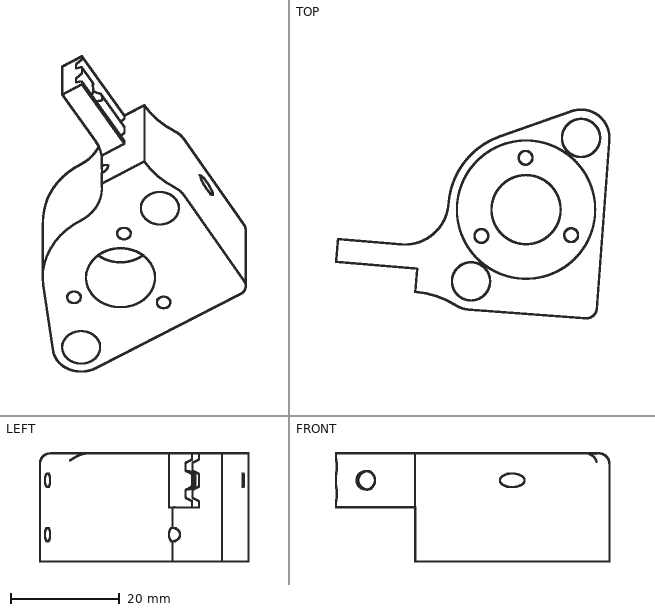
import math

import cadquery as cq

HEIGHT = 20.0
BORE_DIAMETER = 12.7
POCKET_DIAMETER = 25.5
POCKET_DEPTH = 4.0
HUB_RADIUS = 14.35

MOUNT_HOLE_DIAMETER = 2.5
MOUNT_CIRCLE_RADIUS = 9.55
MOUNT_HOLE_COUNT = 3
MOUNT_FIRST_ANGLE = 90.5

ROD_HOLE_DIAMETER = 7.0
ROD_HOLE_DISTANCE = 16.65
ROD_HOLE_ANGLE = 52.5
ROD_BOSS_RADIUS = 5.25

BODY_TILT = -4.25
CORNER_RADIUS = 2.0
TOP_ROUND_RADIUS = 2.0
RELIEF_RADIUS = 16.2
RELIEF_DIRECTION = 237.6

ARM_TILT = -4.8
ARM_LENGTH = 15.0
ARM_THICKNESS = 4.25
ARM_HEIGHT = 10.0
ARM_TIP_DISTANCE = 34.09
ARM_TOP_OFFSET = 8.28
ARM_FILLET_RADIUS = 8.0
ARM_HOLE_DIAMETER = 3.4
ARM_HOLE_FROM_TIP = 5.5

TOOTH_PITCH = 5.0
GROOVE_DEPTH = 1.25
GROOVE_MOUTH_WIDTH = 2.68
GROOVE_FLOOR_WIDTH = 1.44
GROOVE_CORNER_RADIUS = 0.4

SET_SCREW_DIAMETER = 2.5
SET_SCREW_HIGH = 15.0
SET_SCREW_LOW = 5.0

CLEARANCE = 60.0


def polar(origin, distance, angle):
    """Point at a distance and direction (degrees) from an origin."""
    turn = math.radians(angle)
    return (origin[0] + distance * math.cos(turn), origin[1] + distance * math.sin(turn))


def arm_point(along, across):
    """XY point from distances along and across the tilted arm, measured from the bore."""
    return polar(polar((0, 0), along, ARM_TILT), across, ARM_TILT + 90)


def distance_along_arm(point):
    """Distance of a point from the bore, measured along the arm."""
    turn = math.radians(ARM_TILT)
    return point[0] * math.cos(turn) + point[1] * math.sin(turn)


def toward(start, end):
    """Direction in degrees from one point to another."""
    return math.degrees(math.atan2(end[1] - start[1], end[0] - start[0]))


BORE = (0.0, 0.0)
UPPER_ROD = polar(BORE, ROD_HOLE_DISTANCE, ROD_HOLE_ANGLE)
LOWER_ROD = polar(BORE, -ROD_HOLE_DISTANCE, ROD_HOLE_ANGLE)
BOTTOM_NORMAL = BODY_TILT - 90
RIGHT_NORMAL = BODY_TILT

SLANT_TILT = ROD_HOLE_ANGLE - math.degrees(
    math.asin((HUB_RADIUS - ROD_BOSS_RADIUS) / ROD_HOLE_DISTANCE)
)
SLANT_NORMAL = SLANT_TILT + 90
SLANT_AT_BOSS = polar(UPPER_ROD, ROD_BOSS_RADIUS, SLANT_NORMAL)
SLANT_AT_HUB = polar(BORE, HUB_RADIUS, SLANT_NORMAL)
RIGHT_AT_BOSS = polar(UPPER_ROD, ROD_BOSS_RADIUS, RIGHT_NORMAL)
BOSS_CREST = polar(UPPER_ROD, ROD_BOSS_RADIUS, (SLANT_NORMAL + RIGHT_NORMAL) / 2)

ARM_TIP = -ARM_TIP_DISTANCE
ARM_ROOT = ARM_TIP + ARM_LENGTH
ARM_UPPER = -ARM_TOP_OFFSET
ARM_LOWER = ARM_UPPER - ARM_THICKNESS
ARM_UNDERSIDE = HEIGHT - ARM_HEIGHT
ARM_MID_HEIGHT = ARM_UNDERSIDE + ARM_HEIGHT / 2


def bottom_right_corner():
    """Sharp corner where the bottom side meets the right side."""
    across_rods = math.radians(ROD_HOLE_ANGLE - BODY_TILT)
    half_width = ROD_HOLE_DISTANCE * math.cos(across_rods) + ROD_BOSS_RADIUS
    half_length = ROD_HOLE_DISTANCE * math.sin(across_rods) + ROD_BOSS_RADIUS
    return polar(polar(BORE, half_width, RIGHT_NORMAL), half_length, BOTTOM_NORMAL)


def outline():
    """Plan outline of the body and arm together."""
    fillet_across = ARM_UPPER + ARM_FILLET_RADIUS
    fillet_along = -math.sqrt((HUB_RADIUS + ARM_FILLET_RADIUS) ** 2 - fillet_across**2)
    fillet_center = arm_point(fillet_along, fillet_across)
    fillet_at_arm = arm_point(fillet_along, ARM_UPPER)
    hub_start_angle = toward(BORE, fillet_center) % 360
    fillet_at_hub = polar(BORE, HUB_RADIUS, hub_start_angle)
    fillet_end_angle = hub_start_angle + 180
    fillet_mid_angle = (ARM_TILT + 270 + fillet_end_angle) / 2
    fillet_mid = polar(fillet_center, ARM_FILLET_RADIUS, fillet_mid_angle)
    hub_mid = polar(BORE, HUB_RADIUS, (hub_start_angle + SLANT_NORMAL) / 2)

    bottom_at_boss = polar(LOWER_ROD, ROD_BOSS_RADIUS, BOTTOM_NORMAL)
    boss_mid = polar(LOWER_ROD, ROD_BOSS_RADIUS, (BOTTOM_NORMAL + RELIEF_DIRECTION - 360) / 2)
    relief_at_boss = polar(LOWER_ROD, ROD_BOSS_RADIUS, RELIEF_DIRECTION)
    relief_center = polar(LOWER_ROD, ROD_BOSS_RADIUS + RELIEF_RADIUS, RELIEF_DIRECTION)

    root_offset = ARM_ROOT - distance_along_arm(relief_center)
    root_lean = math.degrees(math.acos(root_offset / RELIEF_RADIUS))
    relief_end_angle = ARM_TILT + root_lean
    relief_at_root = polar(relief_center, RELIEF_RADIUS, relief_end_angle)
    relief_mid_angle = (relief_end_angle + RELIEF_DIRECTION - 180) / 2
    relief_mid = polar(relief_center, RELIEF_RADIUS, relief_mid_angle)

    return (
        cq.Workplane("XY")
        .moveTo(*arm_point(ARM_TIP, ARM_LOWER))
        .lineTo(*arm_point(ARM_TIP, ARM_UPPER))
        .lineTo(*fillet_at_arm)
        .threePointArc(fillet_mid, fillet_at_hub)
        .threePointArc(hub_mid, SLANT_AT_HUB)
        .lineTo(*SLANT_AT_BOSS)
        .threePointArc(BOSS_CREST, RIGHT_AT_BOSS)
        .lineTo(*bottom_right_corner())
        .lineTo(*bottom_at_boss)
        .threePointArc(boss_mid, relief_at_boss)
        .threePointArc(relief_mid, relief_at_root)
        .lineTo(*arm_point(ARM_ROOT, ARM_LOWER))
        .close()
    )


def blank():
    """Full-height body with the rounded vertical corner."""
    body = outline().extrude(HEIGHT)
    corner = bottom_right_corner()
    nearest = cq.selectors.NearestToPointSelector((*corner, HEIGHT / 2))
    return body.edges("|Z").edges(nearest).fillet(CORNER_RADIUS)


def round_top_envelope():
    """Oversized prism whose rounded top rim runs straight along the slanted and right sides."""
    slant_far = polar(SLANT_AT_BOSS, -CLEARANCE, SLANT_TILT)
    right_far = polar(RIGHT_AT_BOSS, CLEARANCE, BOTTOM_NORMAL)
    prism = (
        cq.Workplane("XY")
        .moveTo(*slant_far)
        .lineTo(*SLANT_AT_BOSS)
        .threePointArc(BOSS_CREST, RIGHT_AT_BOSS)
        .lineTo(*right_far)
        .lineTo(slant_far[0], right_far[1])
        .close()
        .extrude(HEIGHT)
    )
    rim_point = (*BOSS_CREST, HEIGHT)
    rim = prism.edges(cq.selectors.NearestToPointSelector(rim_point))
    return rim.fillet(TOP_ROUND_RADIUS)


def vertical_hole(center, diameter):
    return cq.Workplane("XY").center(*center).circle(diameter / 2).extrude(HEIGHT)


def pocket():
    floor = cq.Workplane("XY").workplane(offset=HEIGHT - POCKET_DEPTH)
    return floor.circle(POCKET_DIAMETER / 2).extrude(POCKET_DEPTH)


def horizontal_hole(start, direction, height, diameter):
    """Round cutter that runs level from an XY point in a given direction."""
    turn = math.radians(direction)
    axis = cq.Vector(math.cos(turn), math.sin(turn), 0)
    origin = cq.Vector(*start, height)
    return cq.Workplane(cq.Solid.makeCylinder(diameter / 2, CLEARANCE, origin, axis))


def set_screw_holes():
    """Holes that reach the rod holes square to the line through both rods."""
    leftward = ROD_HOLE_ANGLE + 90
    rightward = ROD_HOLE_ANGLE - 90
    placements = [
        (UPPER_ROD, leftward, SET_SCREW_HIGH),
        (UPPER_ROD, leftward, SET_SCREW_LOW),
        (LOWER_ROD, rightward, SET_SCREW_HIGH),
        (LOWER_ROD, leftward, SET_SCREW_LOW),
    ]
    return [horizontal_hole(*placement, SET_SCREW_DIAMETER) for placement in placements]


def space_under_arm():
    block = cq.Workplane("XY").box(
        CLEARANCE, CLEARANCE, ARM_UNDERSIDE, centered=(True, True, False)
    )
    block = block.translate((ARM_ROOT - CLEARANCE / 2, 0, 0))
    return block.rotate((0, 0, 0), (0, 0, 1), ARM_TILT)


def belt_groove(height):
    """Trapezoidal belt-tooth groove along the lower side of the arm, with rounded corners."""
    half_mouth = GROOVE_MOUTH_WIDTH / 2
    half_floor = GROOVE_FLOOR_WIDTH / 2
    mouth = ARM_LOWER
    floor = ARM_LOWER + GROOVE_DEPTH
    outside = ARM_LOWER - GROOVE_DEPTH
    wide = half_mouth + GROOVE_DEPTH
    groove = (
        cq.Workplane("YZ", origin=(ARM_TIP, 0, height))
        .moveTo(outside, -wide)
        .lineTo(mouth, -wide)
        .lineTo(mouth, -half_mouth)
        .lineTo(floor, -half_floor)
        .lineTo(floor, half_floor)
        .lineTo(mouth, half_mouth)
        .lineTo(mouth, wide)
        .lineTo(outside, wide)
        .close()
        .extrude(ARM_LENGTH)
    )
    inner_corners = cq.selectors.BoxSelector(
        (ARM_TIP, mouth - GROOVE_CORNER_RADIUS, height - half_mouth - GROOVE_CORNER_RADIUS),
        (ARM_ROOT, floor + GROOVE_CORNER_RADIUS, height + half_mouth + GROOVE_CORNER_RADIUS),
    )
    groove = groove.edges("|X").edges(inner_corners).fillet(GROOVE_CORNER_RADIUS)
    return groove.rotate((0, 0, 0), (0, 0, 1), ARM_TILT)


def arm_hole():
    start = arm_point(ARM_TIP + ARM_HOLE_FROM_TIP, ARM_UPPER + ARM_THICKNESS)
    return horizontal_hole(start, ARM_TILT - 90, ARM_MID_HEIGHT, ARM_HOLE_DIAMETER)


def build():
    part = blank().intersect(round_top_envelope())
    part = part.cut(space_under_arm())
    part = part.cut(pocket())
    part = part.cut(vertical_hole(BORE, BORE_DIAMETER))
    for index in range(MOUNT_HOLE_COUNT):
        angle = MOUNT_FIRST_ANGLE + index * 360 / MOUNT_HOLE_COUNT
        center = polar(BORE, MOUNT_CIRCLE_RADIUS, angle)
        part = part.cut(vertical_hole(center, MOUNT_HOLE_DIAMETER))
    for rod in (UPPER_ROD, LOWER_ROD):
        part = part.cut(vertical_hole(rod, ROD_HOLE_DIAMETER))
    for hole in set_screw_holes():
        part = part.cut(hole)
    for side in (-1, 1):
        part = part.cut(belt_groove(ARM_MID_HEIGHT + side * TOOTH_PITCH / 2))
    return part.cut(arm_hole())


result = build()